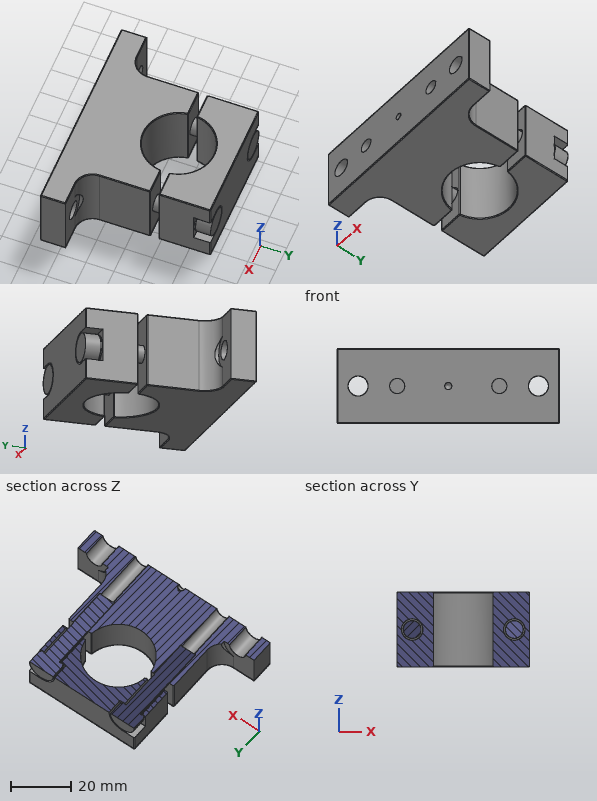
import cadquery as cq


foot_length = 74.0
depth = 25.0
column_width = 44.2
foot_thickness = 9.0
foot_fillet = 6.2
edge_chamfer = 0.3

bore_diameter = 25.0
bore_height = 35.0
split_gap = 3.0
cap_top = 20.0
foot_bottom = -bore_height
foot_top = foot_bottom + foot_thickness
base_top = -split_gap / 2
cap_bottom = split_gap / 2

mount_spacing = 60.0
mount_diameter = 6.6
spotface_diameter = 11.25
pilot_diameter = 2.4
pilot_depth = 1.0
pilot_tip_depth = pilot_diameter / 2

screw_spacing = 34.0
screw_diameter = 6.0
screw_length = 30.0
head_diameter = 10.0
head_height = 6.0
collar_diameter = 9.4
collar_height = 0.5
tap_drill_diameter = 5.0
clearance_diameter = 7.0

pocket_width = 11.0
pocket_floor = cap_top - head_height
screw_tip = pocket_floor - screw_length

SIDES = (-1, 1)


def cylinder_y(diameter, y_start, y_end, x=0):
    """Cylinder along +Y between two Y positions, centred on Z = 0."""
    start = cq.Vector(x, y_start, 0)
    solid = cq.Solid.makeCylinder(diameter / 2, y_end - y_start, start, cq.Vector(0, 1, 0))
    return cq.Workplane(obj=solid)


def extrude_depth(sketch):
    """Extrude an XY outline by the depth of the part, half to each side."""
    return sketch.extrude(depth / 2, both=True)


def bore():
    return extrude_depth(cq.Workplane().circle(bore_diameter / 2))


def chamfer_outer_edges(block):
    """Chamfer every edge of the top, bottom, front and back faces, including the bore mouth."""
    return block.faces("<Z or >Z or <Y or >Y").edges().chamfer(edge_chamfer)


def make_base():
    half_foot = foot_length / 2
    half_column = column_width / 2
    base = extrude_depth(
        cq.Workplane()
        .moveTo(-half_foot, foot_bottom)
        .lineTo(half_foot, foot_bottom)
        .lineTo(half_foot, foot_top)
        .lineTo(half_column + foot_fillet, foot_top)
        .radiusArc((half_column, foot_top + foot_fillet), foot_fillet)
        .lineTo(half_column, base_top)
        .lineTo(-half_column, base_top)
        .lineTo(-half_column, foot_top + foot_fillet)
        .radiusArc((-half_column - foot_fillet, foot_top), foot_fillet)
        .lineTo(-half_foot, foot_top)
        .close()
    )
    base = chamfer_outer_edges(base.cut(bore()))

    for side in SIDES:
        mount_x = side * mount_spacing / 2
        base = base.cut(cylinder_y(mount_diameter, foot_bottom, foot_top, mount_x))
        base = base.cut(cylinder_y(spotface_diameter, foot_top, base_top, mount_x))

        screw_x = side * screw_spacing / 2
        base = base.cut(cylinder_y(tap_drill_diameter, foot_bottom, base_top, screw_x))
        base = base.cut(cylinder_y(screw_diameter, screw_tip, base_top, screw_x))

    return base.cut(pilot_hole())


def pilot_hole():
    """Shallow centre-drilled hole ending in a 90 degree cone."""
    tip_start = foot_bottom + pilot_depth
    cone = cq.Solid.makeCone(
        pilot_diameter / 2, 0, pilot_tip_depth, cq.Vector(0, tip_start, 0), cq.Vector(0, 1, 0)
    )
    return cylinder_y(pilot_diameter, foot_bottom, tip_start).union(cq.Workplane(obj=cone))


def head_pocket(side):
    """Pocket with a round inner end that runs out through the side of the cap."""
    screw_x = side * screw_spacing / 2
    run_out = (column_width - screw_spacing) / 2
    channel = cq.Workplane().box(run_out, head_height, pocket_width)
    channel = channel.translate((screw_x + side * run_out / 2, pocket_floor + head_height / 2, 0))
    return cylinder_y(pocket_width, pocket_floor, cap_top, screw_x).union(channel)


def make_cap():
    cap_height = cap_top - cap_bottom
    cap = cq.Workplane().box(column_width, cap_height, depth)
    cap = cap.translate((0, cap_bottom + cap_height / 2, 0))
    cap = chamfer_outer_edges(cap.cut(bore()))

    for side in SIDES:
        screw_x = side * screw_spacing / 2
        cap = cap.cut(head_pocket(side))
        cap = cap.cut(cylinder_y(clearance_diameter, cap_bottom, pocket_floor, screw_x))
    return cap


def make_screw(side):
    """Cylinder-head screw with a slightly narrower collar under its head."""
    screw_x = side * screw_spacing / 2
    head_underside = pocket_floor + collar_height
    shank = cylinder_y(screw_diameter, screw_tip, pocket_floor, screw_x)
    collar = cylinder_y(collar_diameter, pocket_floor, head_underside, screw_x)
    head = cylinder_y(head_diameter, head_underside, cap_top, screw_x)
    return shank.union(collar).union(head)


base = make_base()
cap = make_cap()
screws = [make_screw(side) for side in SIDES]

result = cq.Compound.makeCompound([base.val(), cap.val(), *[screw.val() for screw in screws]])